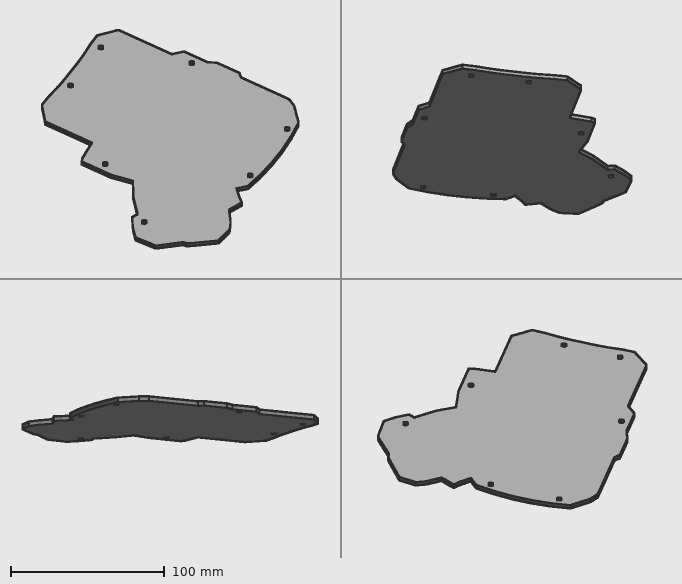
import cadquery as cq

length = 159.8
depth = 156.0
thickness = 3.0
hole_diameter = 3.0

left_mid_y = 101.1
left_bottom_y = 55.1
left_top_y = 2 * left_mid_y - left_bottom_y

bulge_end_x = 150.7
bulge_rise = 3.0
bulge_bottom_y = 75.4
bulge_top_y = 139.3
bulge_mid = (bulge_end_x + bulge_rise, (bulge_bottom_y + bulge_top_y) / 2)

shoulder_y = 153.2

tab_bottom_y = 37.9

left_flank_lower = [
    (1.3, 92.0),
    (1.0, 84.5),
    (0.2, 75.3),
    (0.0, 66.3),
    (7.0, 58.0),
    (9.3, left_bottom_y),
]
left_flank_upper = [(x, 2 * left_mid_y - y) for x, y in reversed(left_flank_lower)]

bottom_edge = [
    (44.5, left_bottom_y),
    (46.2, 40.3),
    (47.3, tab_bottom_y),
    (69.7, tab_bottom_y),
    (84.4, 40.7),
    (91.2, 29.7),
    (101.6, 17.9),
    (100.0, 13.7),
    (105.1, 6.2),
    (110.7, 0.2),
    (111.7, 0.0),
    (125.9, 0.6),
    (139.5, 12.5),
    (141.9, 12.6),
    (144.3, 14.2),
    (158.3, 25.4),
    (length, 37.0),
    (156.7, 43.6),
    (150.7, 51.8),
    (154.7, 61.2),
    (150.8, 64.4),
    (145.4, 70.0),
]

top_edge = [
    (141.0, 150.0),
    (135.2, shoulder_y),
    (98.7, shoulder_y),
    (95.9, depth),
    (78.8, depth),
    (73.2, shoulder_y),
    (55.5, shoulder_y),
    (49.9, left_top_y),
]

hole_centers = [
    (7.3, 128.5),
    (7.3, 90.3),
    (64.9, 147.3),
    (147.2, 130.7),
    (147.2, 84.0),
    (61.5, 44.0),
    (108.8, 14.2),
]


def make_plate():
    """Flat plate with the full outline."""
    return (
        cq.Workplane("XY")
        .polyline(left_flank_lower + bottom_edge + [(bulge_end_x, bulge_bottom_y)])
        .threePointArc(bulge_mid, (bulge_end_x, bulge_top_y))
        .polyline(top_edge + left_flank_upper, includeCurrent=True)
        .close()
        .extrude(thickness)
    )


def drill_mounting_holes(plate):
    """Through holes near the rim."""
    return plate.faces(">Z").workplane(origin=(0, 0, 0)).pushPoints(hole_centers).hole(hole_diameter)


result = drill_mounting_holes(make_plate())